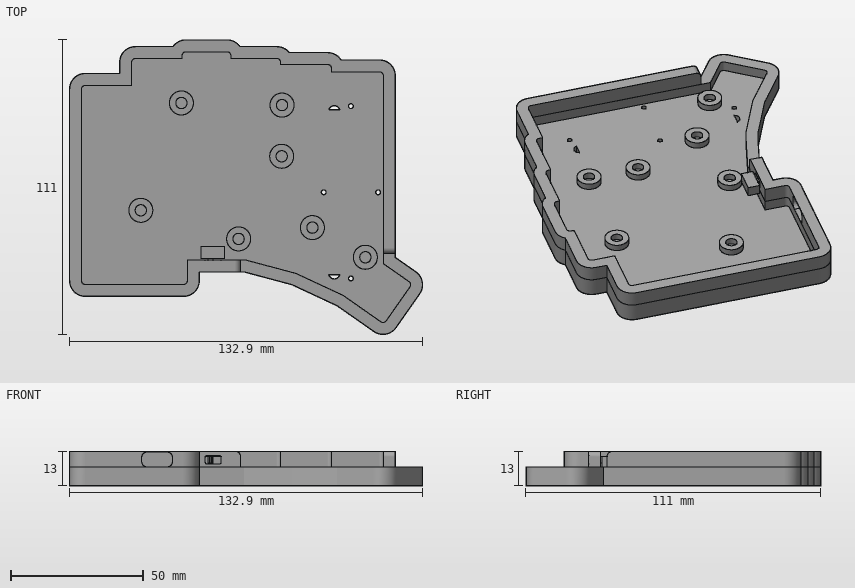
import cadquery as cq
import math

WALL = 4.5
CAVITY_CORNER_R = 1.5
FLOOR = 3.0
TRAY_HEIGHT = 7.2
CASE_HEIGHT = 13.0
RIM_HEIGHT = CASE_HEIGHT - TRAY_HEIGHT

CAVITY_LEFT = WALL
CAVITY_RIGHT = 118.2
CAVITY_FRONT = 18.9
NOTCH_X = 44.4
NOTCH_Y = 28.0
LEFT_BACK = 93.9

BACK_STEPS = [(23.4, 104.0), (42.4, 106.5), (60.8, 104.0), (79.5, 101.7), (98.7, 99.0)]

ARM_BEND_X = 66.5
ARM_RUNS = [(19.5, 15), (19.5, 25), (18.8, 35)]
ARM_ANGLE = ARM_RUNS[-1][1]
ARM_END_LENGTH = 18.5

RIGHT_TURN_LIMIT = -0.9

STANDOFF_CENTRES = [
    (42.2, 87.2), (80.0, 86.5), (79.9, 67.2), (26.9, 46.8), (63.7, 36.0), (91.5, 40.3), (111.5, 29.1),
]
STANDOFF_D = 9.0
STANDOFF_HOLE_D = 4.3
STANDOFF_HEIGHT = 2.5

OPENING_CENTRE = (106.0, 53.6)
PINHOLE_D = 1.7
PINHOLE_X_OFFSET = 10.2
PINHOLE_Y_OFFSET = 32.5
SEGMENT_D = 4.3
SEGMENT_X_OFFSET = -6.3
SEGMENT_Y_OFFSET = 30.5
SEGMENT_FLAT_OFFSET = 31.1

RIM_END_X = 64.5
RIM_END_Y = 30.5
RIM_END_R = 2.1

SLOT_CENTRE_X = 33.0
SLOT_WIDTH = 11.6
SLOT_HEIGHT = 5.6
SLOT_CORNER_R = 2.0

WINDOW_CENTRE_X = 54.1
WINDOW_WIDTH = 6.0
WINDOW_BOTTOM = 8.2
WINDOW_HEIGHT = 3.2
WINDOW_CORNER_R = 0.7
SWITCH_CENTRE_X = 54.0
SWITCH_WIDTH = 8.8
SWITCH_DEPTH = 4.5
SWITCH_GAP = 0.5
SWITCH_HEIGHT = 3.9
SWITCH_FRONT = NOTCH_Y + SWITCH_GAP
LEVER_LEFT = 52.1
LEVER_WIDTH = 1.9
LEVER_HEIGHT = 2.4
LEVER_REACH = 2.7
LEVER_BOTTOM = WINDOW_BOTTOM + (WINDOW_HEIGHT - LEVER_HEIGHT) / 2
LEVER_RIB_D = 0.5
LEVER_RIB_COUNT = 3


def step(point, length, degrees):
    """The point a given length away in a given direction."""
    angle = math.radians(degrees)
    return (point[0] + length * math.cos(angle), point[1] + length * math.sin(angle))


def cavity_points():
    points = [(CAVITY_LEFT, CAVITY_FRONT), (CAVITY_LEFT, LEFT_BACK)]
    edge_y = LEFT_BACK
    for step_x, back_y in BACK_STEPS:
        points += [(step_x, edge_y), (step_x, back_y)]
        edge_y = back_y
    points.append((CAVITY_RIGHT, edge_y))

    front_edge = [(ARM_BEND_X, NOTCH_Y)]
    for length, angle in ARM_RUNS:
        front_edge.append(step(front_edge[-1], length, -angle))
    arm_end = step(front_edge[-1], ARM_END_LENGTH, 90 - ARM_ANGLE)
    root_length = (arm_end[0] - CAVITY_RIGHT) / math.cos(math.radians(ARM_ANGLE))
    arm_root = step(arm_end, root_length, 180 - ARM_ANGLE)
    points += [arm_root, arm_end]
    points += reversed(front_edge)
    points += [(NOTCH_X, NOTCH_Y), (NOTCH_X, CAVITY_FRONT)]
    return points


def turns_outward(points, index):
    """True where a clockwise outline makes a right-angled outward corner."""
    x0, y0 = points[index - 1]
    x1, y1 = points[index]
    x2, y2 = points[(index + 1) % len(points)]
    cross = (x1 - x0) * (y2 - y1) - (y1 - y0) * (x2 - x1)
    lengths = math.hypot(x1 - x0, y1 - y0) * math.hypot(x2 - x1, y2 - y1)
    return cross / lengths < RIGHT_TURN_LIMIT


def cavity_prism(height):
    points = cavity_points()
    prism = cq.Workplane("XY").polyline(points).close().extrude(height)
    for index, (x, y) in enumerate(points):
        if turns_outward(points, index):
            corner = cq.selectors.NearestToPointSelector((x, y, height / 2))
            prism = prism.edges("|Z").edges(corner).fillet(CAVITY_CORNER_R)
    return prism


def case_prism(height):
    outline = cavity_prism(height).faces("<Z").wires().val()
    return cq.Workplane("XY").add(outline).toPending().offset2D(WALL).extrude(height)


def cylinder(centre, diameter, bottom, height):
    return cq.Workplane("XY", origin=(*centre, bottom)).circle(diameter / 2).extrude(height)


def floor_segment(side):
    """Opening shaped as a circle segment; side is +1 behind the centre and -1 in front of it."""
    x = OPENING_CENTRE[0] + SEGMENT_X_OFFSET
    y = OPENING_CENTRE[1] + side * SEGMENT_Y_OFFSET
    flat_y = OPENING_CENTRE[1] + side * SEGMENT_FLAT_OFFSET
    disc = cylinder((x, y), SEGMENT_D, 0, FLOOR)
    keep = cq.Workplane("XY").box(SEGMENT_D, SEGMENT_D, FLOOR, centered=(True, True, False))
    return disc.intersect(keep.translate((x, flat_y + side * SEGMENT_D / 2, 0)))


def floor_openings():
    openings = floor_segment(1).union(floor_segment(-1))
    for side in (1, -1):
        for offset in ((side * PINHOLE_X_OFFSET, 0), (0, side * PINHOLE_Y_OFFSET)):
            centre = (OPENING_CENTRE[0] + offset[0], OPENING_CENTRE[1] + offset[1])
            openings = openings.union(cylinder(centre, PINHOLE_D, 0, FLOOR))
    return openings


def make_tray():
    tray = case_prism(TRAY_HEIGHT)
    tray = tray.cut(cavity_prism(TRAY_HEIGHT).translate((0, 0, FLOOR)))
    for centre in STANDOFF_CENTRES:
        tray = tray.union(cylinder(centre, STANDOFF_D, FLOOR, STANDOFF_HEIGHT))
    for centre in STANDOFF_CENTRES:
        tray = tray.cut(cylinder(centre, STANDOFF_HOLE_D, FLOOR, STANDOFF_HEIGHT))
    return tray.cut(floor_openings())


def wall_opening(centre_x, width, height, bottom, corner_r):
    """Rounded-rectangle prism that passes through the front walls only."""
    return (
        cq.Workplane("XY")
        .box(width, NOTCH_Y, height, centered=(True, False, False))
        .edges("|Y")
        .fillet(corner_r)
        .translate((centre_x, 0, bottom))
    )


def make_rim():
    rim = case_prism(RIM_HEIGHT).cut(cavity_prism(RIM_HEIGHT))
    arm_clearance = (
        cq.Workplane("XY")
        .box(CAVITY_RIGHT, RIM_END_Y + WALL, RIM_HEIGHT, centered=False)
        .translate((RIM_END_X, -WALL, 0))
    )
    rim = rim.cut(arm_clearance)
    for x, y in ((RIM_END_X, NOTCH_Y - WALL / 2), (CAVITY_RIGHT + WALL / 2, RIM_END_Y)):
        end_edge = cq.selectors.NearestToPointSelector((x, y, RIM_HEIGHT))
        rim = rim.edges(end_edge).fillet(RIM_END_R)
    rim = rim.translate((0, 0, TRAY_HEIGHT))
    slot = wall_opening(SLOT_CENTRE_X, SLOT_WIDTH, SLOT_HEIGHT, TRAY_HEIGHT, SLOT_CORNER_R)
    window = wall_opening(WINDOW_CENTRE_X, WINDOW_WIDTH, WINDOW_HEIGHT, WINDOW_BOTTOM, WINDOW_CORNER_R)
    return rim.cut(slot).cut(window)


def make_switch_housing():
    return (
        cq.Workplane("XY")
        .box(SWITCH_WIDTH, SWITCH_DEPTH, SWITCH_HEIGHT, centered=(True, False, False))
        .translate((SWITCH_CENTRE_X, SWITCH_FRONT, TRAY_HEIGHT))
    )


def make_switch_lever():
    face_y = SWITCH_FRONT - LEVER_REACH
    lever = (
        cq.Workplane("XY")
        .box(LEVER_WIDTH, LEVER_REACH, LEVER_HEIGHT, centered=False)
        .translate((LEVER_LEFT, face_y, LEVER_BOTTOM))
    )
    pitch = LEVER_WIDTH / LEVER_RIB_COUNT
    for index in range(LEVER_RIB_COUNT):
        rib_x = LEVER_LEFT + (index + 0.5) * pitch
        lever = lever.union(cylinder((rib_x, face_y), LEVER_RIB_D, LEVER_BOTTOM, LEVER_HEIGHT))
    return lever


tray = make_tray()
rim = make_rim()
switch_housing = make_switch_housing()
switch_lever = make_switch_lever()

result = cq.Compound.makeCompound([
    tray.solids().val(),
    rim.solids().val(),
    switch_housing.solids().val(),
    switch_lever.solids().val(),
])